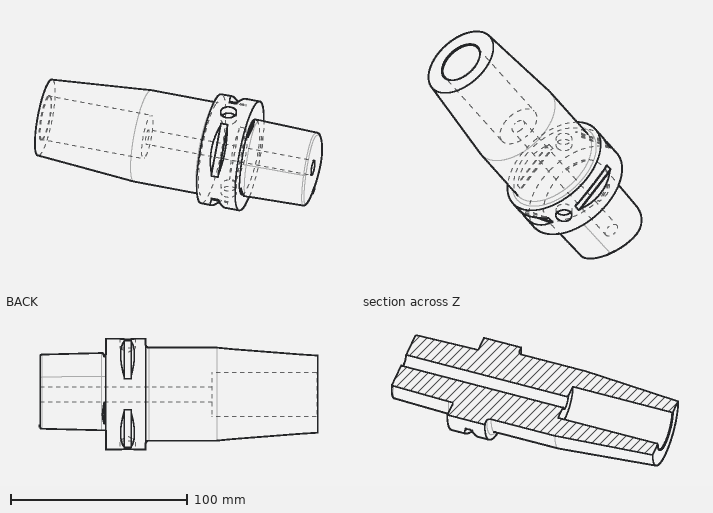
import cadquery as cq
import math

nose_diameter = 44.0
body_diameter = 53.0
flange_diameter = 63.0
cone_length = 57.4
flange_start = 97.6
flange_end = 120.2
body_fillet = 1.9
total_length = 158.0

lobe_mean_radius = 22.0
lobe_eccentricity = 1.4
straight_length = 2.7
shank_taper = 1 / 40
tip_fillet = 1.1
relief_diameter = 44.9
relief_length = 1.0

pad_height = 0.5
pad_width = 3.8
pad_thickness = 0.8
pad_center_z = -18.0
shank_end = total_length - pad_height

tool_bore_diameter = 25.0
tool_bore_depth = 60.0
bore_chamfer = 0.5
through_diameter = 8.4

slot_floor_radius = 27.6
slot_floor_width = 4.0
slot_wall_height = 0.6
slot_mouth_width = 7.9
slot_angles = (45, 135, 225, 315)
index_hole_diameter = 9.0
index_hole_angles = (0, 180)
index_cone_depth = 2.5
index_hole_depth = 5.2
groove_x = 107.9


def make_body():
    """Turned body: cone, cylinder, fillet and flange."""
    body_radius = body_diameter / 2
    fillet_center_x = flange_start - body_fillet
    fillet_center_r = body_radius + body_fillet
    arc_offset = body_fillet / math.sqrt(2)
    return (
        cq.Workplane("XY")
        .moveTo(0, 0)
        .lineTo(0, nose_diameter / 2)
        .lineTo(cone_length, body_radius)
        .lineTo(fillet_center_x, body_radius)
        .threePointArc(
            (fillet_center_x + arc_offset, fillet_center_r - arc_offset),
            (flange_start, fillet_center_r),
        )
        .lineTo(flange_start, flange_diameter / 2)
        .lineTo(flange_end, flange_diameter / 2)
        .lineTo(flange_end, 0)
        .close()
        .revolve(360, (0, 0, 0), (1, 0, 0))
    )


def lobe_point(x, mean_radius, angle):
    """Point of the trilobe curve; angle is measured from +Z towards +Y."""
    e = lobe_eccentricity
    z = mean_radius * math.cos(angle) + 2 * e * math.cos(2 * angle) - e * math.cos(4 * angle)
    y = mean_radius * math.sin(angle) - 2 * e * math.sin(2 * angle) - e * math.sin(4 * angle)
    return cq.Vector(x, y, z)


def lobe_wire(x, mean_radius):
    """Closed trilobe outline, split midway between the lobes."""
    steps = 16
    lobe_span = math.tau / 3
    edges = []
    for lobe in range(3):
        start = (lobe - 0.5) * lobe_span
        points = [lobe_point(x, mean_radius, start + lobe_span * i / steps) for i in range(steps + 1)]
        tangents = [
            cq.Vector(0, math.cos(angle), -math.sin(angle))
            for angle in (start, start + lobe_span)
        ]
        edges.append(cq.Edge.makeSpline(points, tangents=tangents))
    return cq.Wire.assembleEdges(edges)


def make_shank():
    """Polygon shank with a short straight root, a taper and a rounded end."""
    taper_start = flange_end + straight_length
    end_radius = lobe_mean_radius - shank_taper * (shank_end - taper_start)
    root_wire = lobe_wire(flange_end, lobe_mean_radius)
    taper_wire = lobe_wire(taper_start, lobe_mean_radius)
    root = cq.Solid.makeLoft([root_wire, taper_wire], True)
    taper = cq.Solid.makeLoft([taper_wire, lobe_wire(shank_end, end_radius)], True)
    taper = cq.Workplane(taper).faces(">X").edges().fillet(tip_fillet)
    return taper.union(cq.Workplane(root))


def make_root_relief():
    """Ring that trims the lobe tips next to the flange, with a 45 degree runout."""
    inner = relief_diameter / 2
    outer = flange_diameter / 2
    relief_end = flange_end + relief_length
    return (
        cq.Workplane("XY")
        .moveTo(flange_end, inner)
        .lineTo(relief_end, inner)
        .lineTo(relief_end + outer - inner, outer)
        .lineTo(flange_end, outer)
        .close()
        .revolve(360, (0, 0, 0), (1, 0, 0))
    )


def make_bores():
    """Chamfered tool bore followed by the coolant hole through the part."""
    bore_radius = tool_bore_diameter / 2
    through_radius = through_diameter / 2
    return (
        cq.Workplane("XY")
        .moveTo(0, 0)
        .lineTo(0, bore_radius + bore_chamfer)
        .lineTo(bore_chamfer, bore_radius)
        .lineTo(tool_bore_depth, bore_radius)
        .lineTo(tool_bore_depth, through_radius)
        .lineTo(total_length, through_radius)
        .lineTo(total_length, 0)
        .close()
        .revolve(360, (0, 0, 0), (1, 0, 0))
    )


def make_slot(angle):
    """Flat-bottomed slot with upright, then sloping sides, cut straight across the flange rim."""
    rim = flange_diameter / 2
    slope_start = slot_floor_radius + slot_wall_height
    return (
        cq.Workplane("XZ")
        .polyline([
            (groove_x - slot_floor_width / 2, slot_floor_radius),
            (groove_x + slot_floor_width / 2, slot_floor_radius),
            (groove_x + slot_floor_width / 2, slope_start),
            (groove_x + slot_mouth_width / 2, rim),
            (groove_x - slot_mouth_width / 2, rim),
            (groove_x - slot_floor_width / 2, slope_start),
        ])
        .close()
        .extrude(rim, both=True)
        .rotate((0, 0, 0), (1, 0, 0), angle)
    )


def make_index_hole(angle):
    """Index hole with a conical bottom in the flange rim."""
    rim = flange_diameter / 2
    hole_radius = index_hole_diameter / 2
    cone_top = rim - index_hole_depth
    return (
        cq.Workplane("XZ")
        .moveTo(groove_x, cone_top - index_cone_depth)
        .lineTo(groove_x + hole_radius, cone_top)
        .lineTo(groove_x + hole_radius, rim)
        .lineTo(groove_x, rim)
        .close()
        .revolve(360, (groove_x, 0, 0), (groove_x, 1, 0))
        .rotate((0, 0, 0), (1, 0, 0), angle)
    )


def make_end_pad():
    """Small raised pad on the shank end, sunk into it to join."""
    return (
        cq.Workplane("XY")
        .box(2 * pad_height, pad_width, pad_thickness)
        .translate((shank_end, 0, pad_center_z))
    )


result = make_body().union(make_shank().cut(make_root_relief()))
result = result.union(make_end_pad()).cut(make_bores())
for slot_angle in slot_angles:
    result = result.cut(make_slot(slot_angle))
for hole_angle in index_hole_angles:
    result = result.cut(make_index_hole(hole_angle))